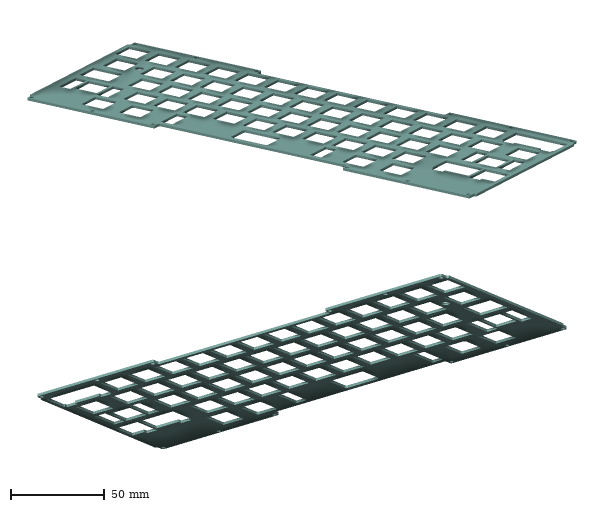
import cadquery as cq

plate_length = 285.8
plate_depth = 104.5
thickness = 1.5
units_wide = 15
row_count = 5
pitch = plate_length / units_wide
body_depth = row_count * pitch

screw_diameter = 2.5
screw_margin = 1.85
screw_outer_x = 139.7
screw_inner_x = 62.0
screw_x = [screw_outer_x, (screw_outer_x + screw_inner_x) / 2, screw_inner_x]
screw_y = plate_depth / 2 - screw_margin
tab_corner_radius = 1.0
tab_root_radius = 1.0

layout_shift = 0.3
switch_size = 14.0
rounded_switch_radius = 1.5
stabilizer_width = 7.1
stabilizer_half_spacing = 12.0
spacebar_half_spacing = 2.5 * pitch
reset_diameter = 5.0
reset_unit = 1.375
reset_row = 1

backspace = 14
enter = 13.875
left_shift = 1.125
right_shift = 13.625
spacebar = 7
row_switches = [
    [0.5 + i for i in range(13)] + [13.5, backspace, 14.5],
    [0.75] + [2 + i for i in range(12)] + [14.25],
    [0.625, 0.875] + [2.25 + i for i in range(11)] + [enter],
    [left_shift] + [2.75 + i for i in range(10)] + [13.125, right_shift, 14.5],
    [2, 12],
]
bottom_row = row_count - 1
rounded_switches = [3.25, spacebar, 7.5, 10.75]

stabilized_keys = [
    (0, backspace, stabilizer_half_spacing, -1.7),
    (2, enter, stabilizer_half_spacing, 2.0),
    (3, left_shift, stabilizer_half_spacing, -2.3),
    (3, right_shift, stabilizer_half_spacing, -2.3),
    (bottom_row, spacebar, spacebar_half_spacing, 1.5),
]


def unit_x(units):
    return units * pitch - plate_length / 2


def row_y(row):
    return ((row_count - 1) / 2 - row) * pitch + layout_shift


def block(width, depth, x, y):
    return cq.Workplane("XY").box(width, depth, thickness).translate((x, y, 0))


def drill(points, diameter):
    return cq.Workplane("XY").pushPoints(points).circle(diameter / 2).extrude(thickness, both=True)


def blank():
    """Rectangular body with a rounded tab at each end of the front and back edges."""
    body = block(plate_length, body_depth, 0, 0)
    outer_x = screw_outer_x + screw_margin
    inner_x = screw_inner_x - screw_margin
    for side in (-1, 1):
        tab = block(outer_x - inner_x, plate_depth, side * (outer_x + inner_x) / 2, 0)
        body = body.union(tab.edges("|Z").fillet(tab_corner_radius))
    for tab_edge in (outer_x, inner_x):
        for sx in (-1, 1):
            for sy in (-1, 1):
                root = (sx * tab_edge, sy * body_depth / 2, 0)
                body = body.edges(cq.selectors.NearestToPointSelector(root)).fillet(tab_root_radius)
    return body


plate = blank()

for row, switches in enumerate(row_switches):
    for units in switches:
        plate = plate.cut(block(switch_size, switch_size, unit_x(units), row_y(row)))

for units in rounded_switches:
    cutout = block(switch_size, switch_size, unit_x(units), row_y(bottom_row))
    plate = plate.cut(cutout.edges("|Z").fillet(rounded_switch_radius))

for row, units, half_spacing, overhang in stabilized_keys:
    for direction in (-1, 1):
        x = unit_x(units) + direction * half_spacing
        y = row_y(row) + overhang / 2
        plate = plate.cut(block(stabilizer_width, switch_size + abs(overhang), x, y))

plate = plate.cut(drill([(unit_x(reset_unit), row_y(reset_row))], reset_diameter))
screw_points = [(sx * x, sy * screw_y) for x in screw_x for sx in (-1, 1) for sy in (-1, 1)]
result = plate.cut(drill(screw_points, screw_diameter))